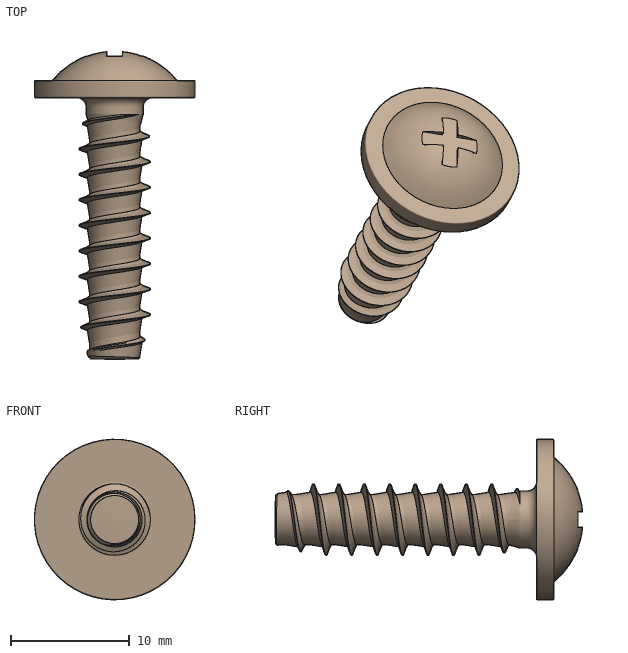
import cadquery as cq
import math


overall_length = 25.88
length_under_head = 22.0
flange_radius = 6.75
flange_thickness = 1.45
flange_edge_round = 0.1
dome_base_radius = 5.25
slot_width = 1.3
slot_depth = 0.4

neck_radius = 2.4
neck_fillet = 0.78
neck_length = 1.4
neck_taper_length = 1.04
core_radius = 2.12
tip_cone_height = 0.05
tip_edge_radius = 2.02

crest_radius = 3.0
crest_width = 0.05
seven_turn_length = 14.98
pitch = seven_turn_length / 7
first_turn_y = -1.63
thread_start_turn = -0.5
thread_end_turn = 9.5
fade_in_start = -0.7
fade_in_turns = 1.6
fade_out_start = 8.0
fade_out_turns = 1.2
segment_turns = 0.5
segment_steps = 8

head_root_offset = 0.57
head_kink_offset = 0.23
head_kink_radius = 2.43
tip_root_offset = 0.25
tip_root_radius = 2.3
core_meet_offset = 1.37
ramp_end_offset = 1.53
buried_radius = 1.92

tip_y = -length_under_head
tip_edge_y = tip_y + tip_cone_height
head_top_y = overall_length - length_under_head
thread_start_y = -neck_length
smallest_fade = 0.05


def revolve_about_axis(outline):
    """Solid of revolution about the screw axis from a closed outline in the XY plane."""
    return outline.close().revolve(360, (0, 0), (0, 1))


def make_head():
    """Flange and dome; the corners left between the two slots stand at the full head height."""
    corner_radius = slot_width / math.sqrt(2)
    dome_height = head_top_y - flange_thickness
    center_offset = (dome_base_radius**2 - corner_radius**2 - dome_height**2) / (2 * dome_height)
    sphere_radius = math.hypot(dome_base_radius, center_offset)
    apex_y = flange_thickness - center_offset + sphere_radius
    mid_radius = dome_base_radius / 2
    mid_y = flange_thickness - center_offset + math.sqrt(sphere_radius**2 - mid_radius**2)

    flange = cq.Workplane("XZ").circle(flange_radius).extrude(-flange_thickness)
    flange = flange.edges().fillet(flange_edge_round)
    dome = revolve_about_axis(
        cq.Workplane("XY")
        .lineTo(dome_base_radius, 0)
        .lineTo(dome_base_radius, flange_thickness)
        .threePointArc((mid_radius, mid_y), (0, apex_y))
    )
    slot_floor_y = head_top_y - slot_depth
    slot_length = 2 * flange_radius
    head = flange.union(dome)
    for width, height in ((slot_width, slot_length), (slot_length, slot_width)):
        slot = cq.Workplane("XZ", origin=(0, slot_floor_y, 0)).rect(width, height).extrude(-head_top_y)
        head = head.cut(slot)
    return head


def make_neck():
    """Plain neck with its fillet under the flange."""
    arc_inset = neck_fillet * (1 - math.sqrt(0.5))
    return revolve_about_axis(
        cq.Workplane("XY")
        .moveTo(0, flange_thickness / 2)
        .lineTo(neck_radius + neck_fillet, flange_thickness / 2)
        .lineTo(neck_radius + neck_fillet, 0)
        .threePointArc((neck_radius + arc_inset, -arc_inset), (neck_radius, -neck_fillet))
        .lineTo(neck_radius, thread_start_y)
        .lineTo(0, thread_start_y)
    )


def make_core():
    """Core of the thread, tapering from the neck and left long at the tip for trimming."""
    return revolve_about_axis(
        cq.Workplane("XY")
        .moveTo(0, thread_start_y)
        .lineTo(neck_radius, thread_start_y)
        .lineTo(core_radius, thread_start_y - neck_taper_length)
        .lineTo(core_radius, tip_y - pitch)
        .lineTo(0, tip_y - pitch)
    )


def make_thread_envelope():
    """Space between the neck and the beveled tip with its shallow end cone."""
    envelope_radius = 2 * crest_radius
    return revolve_about_axis(
        cq.Workplane("XY")
        .moveTo(0, thread_start_y)
        .lineTo(envelope_radius, thread_start_y)
        .lineTo(envelope_radius, tip_edge_y + envelope_radius - tip_edge_radius)
        .lineTo(tip_edge_radius, tip_edge_y)
        .lineTo(0, tip_y)
    )


def thread_fade(turn):
    """Share of the full thread height: rises behind the neck and falls toward the tip."""
    fade_in = (turn - fade_in_start) / fade_in_turns
    fade_out = 1 - (turn - fade_out_start) / fade_out_turns
    return max(smallest_fade, min(1, fade_in, fade_out))


def thread_section(turn):
    """Corners (axial offset, radius) of the thread and of the ramp that follows it."""
    fade = thread_fade(turn)

    def faded(radius):
        return tip_root_radius + fade * (radius - tip_root_radius)

    ramp_slope = (tip_root_radius - core_radius) / (core_meet_offset - tip_root_offset)
    ramp_end_radius = core_radius - ramp_slope * (ramp_end_offset - core_meet_offset)
    narrowing = (1 + fade) / 2
    return [
        (-head_root_offset * narrowing, buried_radius),
        (-head_kink_offset * narrowing, faded(head_kink_radius)),
        (-crest_width / 2 * narrowing, faded(crest_radius)),
        (crest_width / 2 * narrowing, faded(crest_radius)),
        (tip_root_offset * narrowing, tip_root_radius),
        (ramp_end_offset, ramp_end_radius),
        (ramp_end_offset, buried_radius),
    ]


def section_points(turn):
    """Section corners placed on the right-handed helix."""
    angle = 2 * math.pi * turn
    crest_y = first_turn_y - pitch * turn
    return [
        cq.Vector(-radius * math.sin(angle), crest_y - offset, radius * math.cos(angle))
        for offset, radius in thread_section(turn)
    ]


def make_end_face(corners):
    """Flat face closing one end of the thread."""
    return cq.Face.makeFromWires(cq.Wire.makePolygon(corners, close=True))


def make_thread():
    """Helical solid closed from half-turn ruled faces and two flat ends."""
    segment_count = round((thread_end_turn - thread_start_turn) / segment_turns)
    faces = []
    for segment in range(segment_count):
        segment_start = thread_start_turn + segment * segment_turns
        sections = [
            section_points(segment_start + segment_turns * step / segment_steps)
            for step in range(segment_steps + 1)
        ]
        helices = [cq.Edge.makeSpline(list(corner_path)) for corner_path in zip(*sections)]
        for index, helix in enumerate(helices):
            faces.append(cq.Face.makeRuledSurface(helix, helices[index - 1]))
        if segment == 0:
            faces.append(make_end_face(sections[0]))
    faces.append(make_end_face(sections[-1]))
    return cq.Workplane(obj=cq.Solid.makeSolid(cq.Shell.makeShell(faces)))


threaded_shank = make_core().union(make_thread()).intersect(make_thread_envelope())
result = make_head().union(make_neck()).union(threaded_shank)